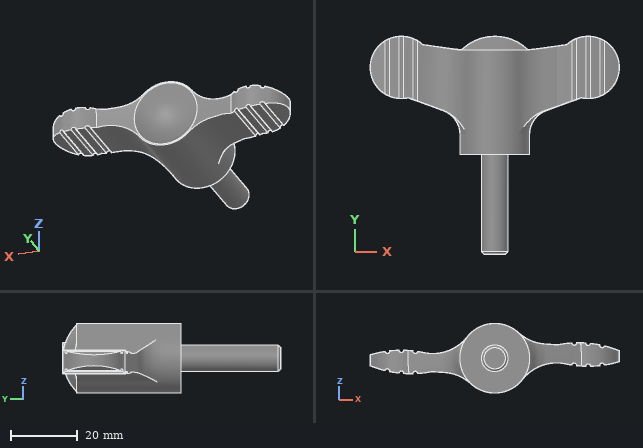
import math

import cadquery as cq


hub_radius = 10.5
hub_length = 31.4
cap_top = 35.6
cap_base_radius = 10.1
cap_bevel_height = 0.4
dome_rim_radius = 9.7

stud_radius = 4.0
stud_length = 30.0
stud_chamfer = 0.8

tip_radius = 9.4
wing_reach = 37.48
tip_x = wing_reach - tip_radius
tip_y = cap_top - tip_radius
arm_top_slope = math.radians(8.3)
arm_bottom_slope = math.radians(20)
root_fillet_start = 6.1
root_fillet_radius = 7.5

root_blend_radius = 13.0
waist_upper_z = 4.3
waist_lower_z = -1.45
upper_blend_end_x = 14.8
upper_crown_start_x = 18.86
lower_crown_start_x = 21.3
crown_radius = 32.0
upper_crown_x = 25.2
upper_crown_z = 4.7
lower_crown_x = 28.1
lower_crown_z = -2.45
section_end_x = wing_reach + 1.0

groove_radius = 0.7
groove_pitch = 4.2


def arc_z(x, center_x, center_z, radius, side):
    """Height at x of a circle, on its upper (side = 1) or lower (side = -1) half."""
    return center_z + side * math.sqrt(radius**2 - (x - center_x) ** 2)


def upper_crown(x):
    """Height of the bulged upper face of the finger grip."""
    return arc_z(x, upper_crown_x, upper_crown_z - crown_radius, crown_radius, 1)


def lower_crown(x):
    """Height of the bulged lower face of the finger grip."""
    return arc_z(x, lower_crown_x, lower_crown_z + crown_radius, crown_radius, -1)


def make_hub():
    """Hub cylinder with a bevelled dome, revolved about the Y axis."""
    rim_y = hub_length + cap_bevel_height
    dome_rise = cap_top - rim_y
    dome_radius = (dome_rim_radius**2 + dome_rise**2) / (2 * dome_rise)
    mid_x = dome_rim_radius / 2
    mid_y = cap_top - dome_radius + math.sqrt(dome_radius**2 - mid_x**2)
    return (
        cq.Workplane("XY")
        .lineTo(hub_radius, 0)
        .lineTo(hub_radius, hub_length)
        .lineTo(cap_base_radius, hub_length)
        .lineTo(dome_rim_radius, rim_y)
        .threePointArc((mid_x, mid_y), (0, cap_top))
        .close()
        .revolve(360, (0, 0), (0, 1))
    )


def make_stud():
    stud = cq.Workplane("XZ").circle(stud_radius).extrude(stud_length)
    return stud.faces("<Y").chamfer(stud_chamfer)


def make_outline():
    """Revolved arms, with a root fillet running into the hub, plus the round tips."""
    fillet_x = hub_radius + root_fillet_radius
    fillet_end_x = fillet_x - root_fillet_radius * math.sin(arm_bottom_slope)
    fillet_end_y = root_fillet_start + root_fillet_radius * math.cos(arm_bottom_slope)
    fillet_mid_angle = math.pi - (math.pi / 2 - arm_bottom_slope) / 2
    fillet_mid = (
        fillet_x + root_fillet_radius * math.cos(fillet_mid_angle),
        root_fillet_start + root_fillet_radius * math.sin(fillet_mid_angle),
    )
    bottom_end_y = fillet_end_y + (tip_x - fillet_end_x) * math.tan(arm_bottom_slope)
    top_end_y = hub_length + (tip_x - hub_radius) * math.tan(arm_top_slope)
    arms = (
        cq.Workplane("XY")
        .moveTo(0, root_fillet_start)
        .lineTo(hub_radius, root_fillet_start)
        .threePointArc(fillet_mid, (fillet_end_x, fillet_end_y))
        .lineTo(tip_x, bottom_end_y)
        .lineTo(tip_x, top_end_y)
        .lineTo(hub_radius, hub_length)
        .lineTo(0, hub_length)
        .close()
        .revolve(360, (0, 0), (0, 1))
    )
    tips = (
        cq.Workplane("XY")
        .pushPoints([(tip_x, tip_y), (-tip_x, tip_y)])
        .circle(tip_radius)
        .extrude(hub_radius, both=True)
    )
    return arms.union(tips)


def make_section():
    """Wing section for the +X side, extruded over the whole height of the wing."""
    center_distance = hub_radius + root_blend_radius
    touch_ratio = hub_radius / center_distance
    upper_z = waist_upper_z + root_blend_radius
    upper_x = math.sqrt(center_distance**2 - upper_z**2)
    lower_z = waist_lower_z - root_blend_radius
    lower_x = math.sqrt(center_distance**2 - lower_z**2)

    def upper_blend(x):
        return (x, arc_z(x, upper_x, upper_z, root_blend_radius, -1))

    def lower_blend(x):
        return (x, arc_z(x, lower_x, lower_z, root_blend_radius, 1))

    upper_touch_x = upper_x * touch_ratio
    lower_touch_x = lower_x * touch_ratio
    section = (
        cq.Workplane("XZ")
        .lineTo(upper_touch_x, upper_z * touch_ratio)
        .threePointArc(
            upper_blend((upper_touch_x + upper_blend_end_x) / 2),
            upper_blend(upper_blend_end_x),
        )
        .lineTo(upper_crown_start_x, upper_crown(upper_crown_start_x))
        .threePointArc((tip_x, upper_crown(tip_x)), (section_end_x, upper_crown(section_end_x)))
        .lineTo(section_end_x, lower_crown(section_end_x))
        .threePointArc(
            (tip_x, lower_crown(tip_x)),
            (lower_crown_start_x, lower_crown(lower_crown_start_x)),
        )
        .threePointArc(
            lower_blend((lower_touch_x + lower_crown_start_x) / 2),
            (lower_touch_x, lower_z * touch_ratio),
        )
        .close()
        .extrude(-cap_top)
    )
    groove_places = []
    for step in (-1, 0, 1):
        x = tip_x + step * groove_pitch
        groove_places.append((x, upper_crown(x)))
        groove_places.append((x, lower_crown(x)))
    grooves = cq.Workplane("XZ").pushPoints(groove_places).circle(groove_radius).extrude(-cap_top)
    return section.cut(grooves)


def make_wings():
    """Both wings; the second is the first turned half a turn about the Y axis."""
    section = make_section()
    opposite = section.rotate((0, 0, 0), (0, 1, 0), 180)
    outline = make_outline()
    return outline.intersect(section), outline.intersect(opposite)


right_wing, left_wing = make_wings()
result = make_hub().union(make_stud()).union(right_wing).union(left_wing)